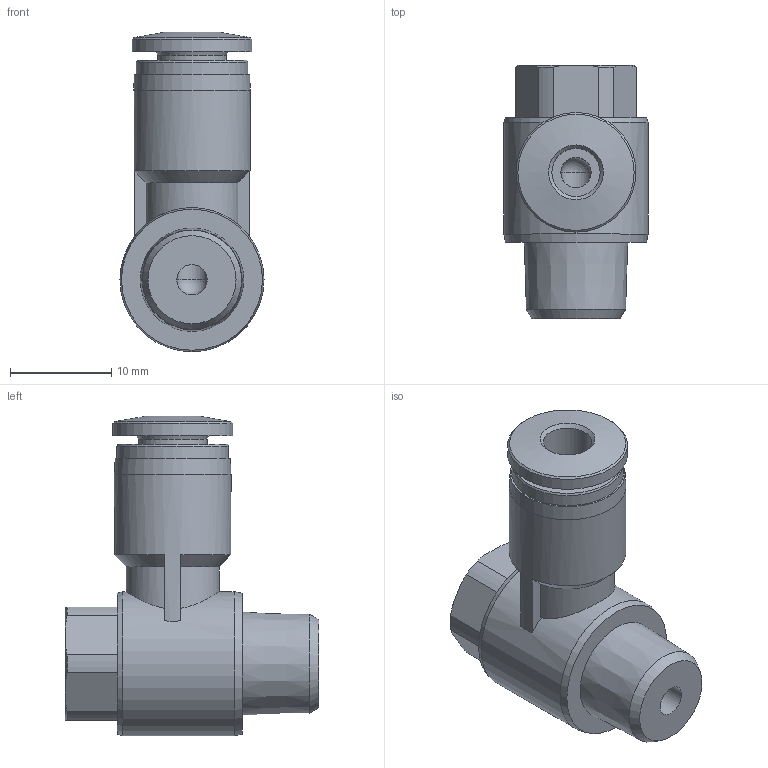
import cadquery as cq
import math


ring_radius = 14.2 / 2
ring_back = 5.45
ring_front = -6.85
ring_edge_drop = 0.15
ring_back_edge = 0.5
ring_front_edge = 0.8

stub_front = -14.4
stub_root_radius = 5.1
thread_taper = 1 / 16
stub_chamfer = 0.95
stub_chamfer_angle = 30

head_back = 10.6
head_sides = 6
head_across_flats = 11.15
head_corner_radius = 6.0
head_chamfer = 0.2
head_chamfer_angle = 30

neck_radius = 9.2 / 2
neck_top = 9.55
socket_bottom = 10.75
socket_radius = 11.5 / 2
socket_taper_start = 18.7
socket_top = 20.25
socket_top_radius = 11.35 / 2
cap_radius = 11.0 / 2
cap_top = 21.65
cap_chamfer_width = 0.1
cap_chamfer_height = 0.2

collar_neck_radius = 6.76 / 2
collar_neck_top = 22.15
collar_radius = 11.8 / 2
collar_bottom = 22.5
collar_flare = 0.15
collar_rim_top = 23.7
collar_edge = 0.17
collar_top = 24.4

passage_radius = 3.0 / 2
tube_bore_radius = 4.76 / 2
tube_bore_floor = socket_bottom
bore_mouth_radius = 5.4 / 2
bore_mouth_depth = 0.35

rib_thickness = 1.6


def revolve_along_y(profile):
    """Revolve (radius, y) points about the Y axis."""
    return cq.Workplane("XY").polyline(profile).close().revolve(360, (0, 0, 0), (0, 1, 0))


def revolve_along_z(profile):
    """Revolve (radius, z) points about the Z axis."""
    return cq.Workplane("XZ").polyline(profile).close().revolve(360, (0, 0, 0), (0, 1, 0))


def make_ring_and_stub():
    """Ring with bevelled edges, then the tapered stub with its chamfered tip."""
    chamfer_start = stub_front + stub_chamfer
    stub_end_radius = stub_root_radius - (ring_front - chamfer_start) * thread_taper / 2
    stub_tip_radius = stub_end_radius - stub_chamfer * math.tan(math.radians(stub_chamfer_angle))
    return revolve_along_y([
        (0, ring_back),
        (ring_radius - ring_edge_drop, ring_back),
        (ring_radius, ring_back - ring_back_edge),
        (ring_radius, ring_front + ring_front_edge),
        (ring_radius - ring_edge_drop, ring_front),
        (stub_root_radius, ring_front),
        (stub_end_radius, chamfer_start),
        (stub_tip_radius, stub_front),
        (0, stub_front),
    ])


def make_head():
    """Hexagon with flats facing +Z and -Z, its corners turned down to a cylinder."""
    across_corners = head_across_flats / math.cos(math.pi / head_sides)
    head_length = head_back - ring_back
    hexagon = (
        cq.Workplane("XZ", origin=(0, head_back, 0))
        .polygon(head_sides, across_corners)
        .extrude(head_length)
    )
    face_radius = head_corner_radius - head_chamfer / math.tan(math.radians(head_chamfer_angle))
    turned_blank = revolve_along_y([
        (0, ring_back),
        (head_corner_radius, ring_back),
        (head_corner_radius, head_back - head_chamfer),
        (face_radius, head_back),
        (0, head_back),
    ])
    return hexagon.intersect(turned_blank)


def make_socket_and_collar():
    """Neck, flared socket, stepped cap and release collar, turned in one profile."""
    return revolve_along_z([
        (0, 0),
        (neck_radius, 0),
        (neck_radius, neck_top),
        (socket_radius, socket_bottom),
        (socket_radius, socket_taper_start),
        (socket_top_radius, socket_top),
        (cap_radius, socket_top),
        (cap_radius, cap_top - cap_chamfer_height),
        (cap_radius - cap_chamfer_width, cap_top),
        (collar_neck_radius, cap_top),
        (collar_neck_radius, collar_neck_top),
        (collar_neck_radius + collar_flare, collar_bottom),
        (collar_radius, collar_bottom),
        (collar_radius, collar_rim_top),
        (collar_radius - collar_edge, collar_rim_top + collar_edge),
        (bore_mouth_radius, collar_top),
        (0, collar_top),
    ])


def make_ribs():
    """One plate across the neck forms both ribs, rounded to follow the socket wall."""
    plate = cq.Workplane("XY").box(
        2 * socket_radius, rib_thickness, socket_bottom, centered=(True, True, False)
    )
    envelope = cq.Workplane("XY").circle(socket_radius).extrude(socket_bottom)
    return plate.intersect(envelope)


def make_passage():
    """Elbow passage: a bore from the stub and one from the socket, joined by a ball."""
    stub_bore = cq.Workplane("XZ").circle(passage_radius).extrude(-stub_front)
    socket_bore = cq.Workplane("XY").circle(passage_radius).extrude(tube_bore_floor)
    return stub_bore.union(socket_bore).union(cq.Workplane("XY").sphere(passage_radius))


def make_tube_bore():
    """Socket bore for the tube, with a conical lead-in at its mouth."""
    return revolve_along_z([
        (0, tube_bore_floor),
        (tube_bore_radius, tube_bore_floor),
        (tube_bore_radius, collar_top - bore_mouth_depth),
        (bore_mouth_radius, collar_top),
        (0, collar_top),
    ])


result = (
    make_ring_and_stub()
    .union(make_head())
    .union(make_socket_and_collar())
    .union(make_ribs())
    .cut(make_passage())
    .cut(make_tube_bore())
    .clean()
)